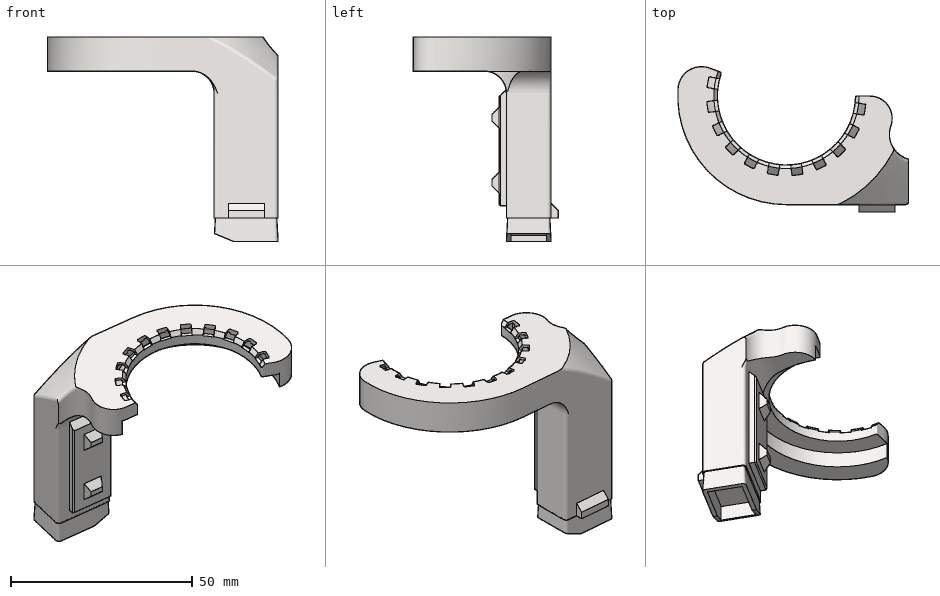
import cadquery as cq
import math

ring_thickness = 9.5
ring_radius = 30.0
bore_radius = 19.0
rim_radius = 20.0
rim_chamfer_depth = 1.4
counterbore_radius = 24.2
counterbore_top = -4.6
tip_angle = 160.0
lip_edge_radius = 0.5
left_tip_radius = 6.5
right_tip_radius = 6.2
neck_radius = 7.0

notch_count = 11
notch_pitch = 18.0
first_notch_angle = -10.0
notch_width = 3.0
notch_outer_radius = 22.0
notch_corner_radius = 0.4
ledge_level = -1.6
groove_roof_level = -0.75
groove_roof_chamfer = 0.4
groove_overrun = 5.5

leg_left = 16.0
leg_right = 33.72
leg_front = -ring_radius
leg_back = -17.6
leg_bottom = -50.0
edge_radius = 1.0
arm_fillet = 6.0
shoulder_radius = 33.2

part_bottom = -56.5
tongue_inset = 0.35
tongue_wall = 1.25
tongue_bevel_width = 5.5
tongue_bevel_height = 2.3

catch_left = 20.0
catch_width = 10.0
catch_depth = 2.0
catch_height = 4.1

plate_thickness = 2.0
plate_inset = 1.1
plate_width = 12.8
plate_top = -14.5
plate_bottom = -46.6
plate_edge = 0.4
stud_base = 5.75
stud_height = 2.0
stud_side_run = 1.0
stud_levels = (-22.3, -40.2)

leg_width = leg_right - leg_left
leg_depth = leg_back - leg_front
leg_centre_x = (leg_left + leg_right) / 2
leg_centre_y = (leg_front + leg_back) / 2


def polar(radius, angle):
    a = math.radians(angle)
    return (radius * math.cos(a), radius * math.sin(a))


def offset(centre, radius, angle):
    x, y = polar(radius, angle)
    return (centre[0] + x, centre[1] + y)


def tip_centre(angle, radius, side):
    """Centre of a ring tip, touching the radial cut at the angle and the ring's outer circle."""
    centre_radius = ring_radius - radius
    swing = math.degrees(math.asin(radius / centre_radius))
    return polar(centre_radius, angle + side * swing)


def right_tip_centres():
    """Centres of the right tip and of the neck, whose circles touch each other."""
    tip = tip_centre(0, right_tip_radius, -1)
    neck_y = leg_back + neck_radius
    spread = right_tip_radius + neck_radius
    neck_x = tip[0] + math.sqrt(spread ** 2 - (neck_y - tip[1]) ** 2)
    return tip, (neck_x, neck_y)


def plan_outline():
    """Plan shape of ring and leg together, with the bore still filled in."""
    left_centre = tip_centre(tip_angle, left_tip_radius, 1)
    side_angle = math.degrees(math.atan2(left_centre[1], left_centre[0]))
    cut_angle = tip_angle - 90
    left_end = offset(left_centre, left_tip_radius, cut_angle)
    left_mid = offset(left_centre, left_tip_radius, (side_angle + cut_angle) / 2)

    right_centre, neck_centre = right_tip_centres()
    rise = neck_centre[1] - right_centre[1]
    join_angle = math.degrees(math.atan2(rise, neck_centre[0] - right_centre[0]))
    join = offset(right_centre, right_tip_radius, join_angle)
    right_mid = offset(right_centre, right_tip_radius, (90 + join_angle) / 2)
    end_angle = 360 - math.degrees(math.acos((leg_right - neck_centre[0]) / neck_radius))
    neck_end = offset(neck_centre, neck_radius, end_angle)
    neck_mid = offset(neck_centre, neck_radius, (180 + join_angle + end_angle) / 2)

    return (
        cq.Workplane("XY")
        .moveTo(0, leg_front)
        .lineTo(leg_right - edge_radius, leg_front)
        .radiusArc((leg_right, leg_front + edge_radius), -edge_radius)
        .lineTo(*neck_end)
        .threePointArc(neck_mid, join)
        .threePointArc(right_mid, (right_centre[0], 0))
        .lineTo(0, 0)
        .lineTo(*left_end)
        .threePointArc(left_mid, polar(ring_radius, side_angle))
        .threePointArc(polar(ring_radius, (side_angle + 270) / 2), (0, leg_front))
        .close()
    )


def arm_and_leg():
    """Ring plate and leg; the leg's blend is made on a wide slab, then trimmed to the plan shape."""
    margin = 20
    slab = (
        cq.Workplane("XY")
        .box(leg_width + 2 * margin, leg_depth + 2 * margin, ring_thickness, centered=(True, True, False))
        .translate((leg_centre_x, leg_centre_y, -ring_thickness))
    )
    post = (
        cq.Workplane("XY").workplane(offset=leg_bottom)
        .center(leg_centre_x, leg_centre_y)
        .rect(leg_width, leg_depth)
        .extrude(-leg_bottom)
        .edges("|Z").fillet(edge_radius)
    )
    reach = 1.0
    junction = cq.selectors.BoxSelector(
        (leg_left - reach, leg_front - reach, -ring_thickness - reach),
        (leg_right + reach, leg_back + reach, -ring_thickness + reach),
    )
    flared = slab.union(post).edges(junction).fillet(arm_fillet)
    column = plan_outline().extrude(leg_bottom).intersect(flared)
    return plan_outline().extrude(-ring_thickness).union(column)


def shoulder_envelope():
    """Space inside the front and right faces, the neck and a 45 degree cone, with rounded edges.

    The cone is carried above the top face so that the rounding runs out cleanly through it.
    """
    above = 8.0
    below = 10.0
    bottom = part_bottom - below
    top_radius = shoulder_radius - above
    bottom_radius = shoulder_radius - bottom
    cone = (
        cq.Workplane("XZ")
        .polyline([(0, bottom), (bottom_radius, bottom), (top_radius, above), (0, above)])
        .close()
        .revolve(360, (0, 0, 0), (0, 1, 0))
    )
    reach = 2 * bottom_radius
    walls = (
        cq.Workplane("XY").workplane(offset=bottom)
        .moveTo(leg_right - reach, leg_front)
        .rect(reach, reach, centered=False)
        .extrude(reach)
    )
    neck_centre = right_tip_centres()[1]
    neck = (
        cq.Workplane("XY").workplane(offset=bottom)
        .center(*neck_centre).circle(neck_radius)
        .extrude(reach)
    )
    envelope = cone.intersect(walls).cut(neck)
    rounded_edges = (
        envelope.faces("<Y").edges("%HYPERBOLA or |Z")
        .add(envelope.faces(">X").faces("<Y").edges("%HYPERBOLA"))
        .add(envelope.faces("%CYLINDER").edges("%BSPLINE"))
    )
    return envelope.newObject(rounded_edges.vals()).fillet(edge_radius)


def bore():
    """Bore with a steep lead-in at the top and a counterbore reaching below the ring."""
    profile = [
        (0, 0),
        (rim_radius, 0),
        (bore_radius, -rim_chamfer_depth),
        (bore_radius, counterbore_top),
        (counterbore_radius, counterbore_top),
        (counterbore_radius, leg_bottom),
        (0, leg_bottom),
    ]
    return cq.Workplane("YZ").polyline(profile).close().revolve(360, (0, 0, 0), (0, 1, 0))


def notch_groove():
    """Ring-shaped groove behind the rim; its floor falls outwards at 45 degrees."""
    groove_floor = ledge_level - (notch_outer_radius - rim_radius)
    profile = [
        (rim_radius, groove_roof_level - groove_roof_chamfer),
        (rim_radius + groove_roof_chamfer, groove_roof_level),
        (notch_outer_radius - groove_roof_chamfer, groove_roof_level),
        (notch_outer_radius, groove_roof_level - groove_roof_chamfer),
        (notch_outer_radius, groove_floor),
        (rim_radius, ledge_level),
    ]
    span = (notch_count - 1) * notch_pitch + 2 * groove_overrun
    groove = cq.Workplane("XZ").polyline(profile).close().revolve(span, (0, 0, 0), (0, -1, 0))
    return groove.rotate((0, 0, 0), (0, 0, 1), first_notch_angle + groove_overrun)


def notches():
    """Evenly spaced notches from the bore outwards, down to the ledge."""
    length = 2 * (notch_outer_radius - bore_radius)
    notch = (
        cq.Workplane("XY").workplane(offset=ledge_level)
        .center(notch_outer_radius - length / 2, 0)
        .rect(length, notch_width)
        .extrude(-ledge_level)
        .edges("|Z and >X").fillet(notch_corner_radius)
    )
    cutter = cq.Workplane("XY")
    for i in range(notch_count):
        angle = first_notch_angle - i * notch_pitch
        cutter = cutter.union(notch.rotate((0, 0, 0), (0, 0, 1), angle))
    return cutter


def tongue():
    """Hollow tongue, full leg section at the bottom and narrower where it meets the leg."""
    height = leg_bottom - part_bottom
    taper = math.degrees(math.atan(tongue_inset / height))
    section = (
        cq.Workplane("XY").workplane(offset=part_bottom)
        .center(leg_centre_x, leg_centre_y)
    )
    body = (
        section
        .sketch().rect(leg_width, leg_depth).vertices().fillet(edge_radius).finalize()
        .extrude(height, taper=taper)
    )
    pocket = (
        section
        .rect(leg_width - 2 * tongue_wall, leg_depth - 2 * tongue_wall)
        .extrude(height)
    )
    bevel = (
        cq.Workplane("XZ", origin=(0, leg_front, 0))
        .moveTo(leg_left, part_bottom)
        .lineTo(leg_left + tongue_bevel_width, part_bottom)
        .lineTo(leg_left, part_bottom + tongue_bevel_height)
        .close()
        .extrude(-leg_depth)
    )
    return body.cut(pocket).cut(bevel)


def catch():
    """Catch with a flat underside and a 45 degree top."""
    return (
        cq.Workplane("YZ", origin=(catch_left, 0, 0))
        .moveTo(leg_front, leg_bottom)
        .lineTo(leg_front - catch_depth, leg_bottom)
        .lineTo(leg_front - catch_depth, leg_bottom + catch_height - catch_depth)
        .lineTo(leg_front, leg_bottom + catch_height)
        .close()
        .extrude(catch_width)
    )


def back_plate():
    """Plate on the back of the leg; its top is cut at 45 degrees and its other edges are broken."""
    plate = (
        cq.Workplane("YZ", origin=(leg_left + plate_inset, 0, 0))
        .moveTo(leg_back, plate_bottom)
        .lineTo(leg_back + plate_thickness, plate_bottom)
        .lineTo(leg_back + plate_thickness, plate_top - plate_thickness)
        .lineTo(leg_back, plate_top)
        .close()
        .extrude(plate_width)
    )
    plate = plate.faces(">Y").edges("|Z or <Z").chamfer(plate_edge)
    for level in stud_levels:
        plate = plate.union(stud(level))
    return plate


def stud(level):
    """Stud with 45 degree top and bottom and steeper ends, in the middle of the plate."""
    centre_x = leg_left + plate_inset + plate_width / 2
    return (
        cq.Workplane("XZ", origin=(centre_x, leg_back + plate_thickness, level))
        .rect(stud_base, stud_base)
        .workplane(offset=-stud_height)
        .rect(stud_base - 2 * stud_side_run, stud_base - 2 * stud_height)
        .loft()
    )


def round_lip(ring):
    """Round the upright edges where the bore land meets the two radial cuts."""
    lip_middle = (counterbore_top - rim_chamfer_depth) / 2
    for angle in (0, tip_angle):
        lip = polar(bore_radius, angle)
        edge = cq.selectors.NearestToPointSelector((*lip, lip_middle))
        ring = ring.edges(edge).fillet(lip_edge_radius)
    return ring


body = arm_and_leg().intersect(shoulder_envelope())
body = round_lip(body.cut(bore())).cut(notch_groove()).cut(notches())
result = body.union(tongue()).union(catch()).union(back_plate())